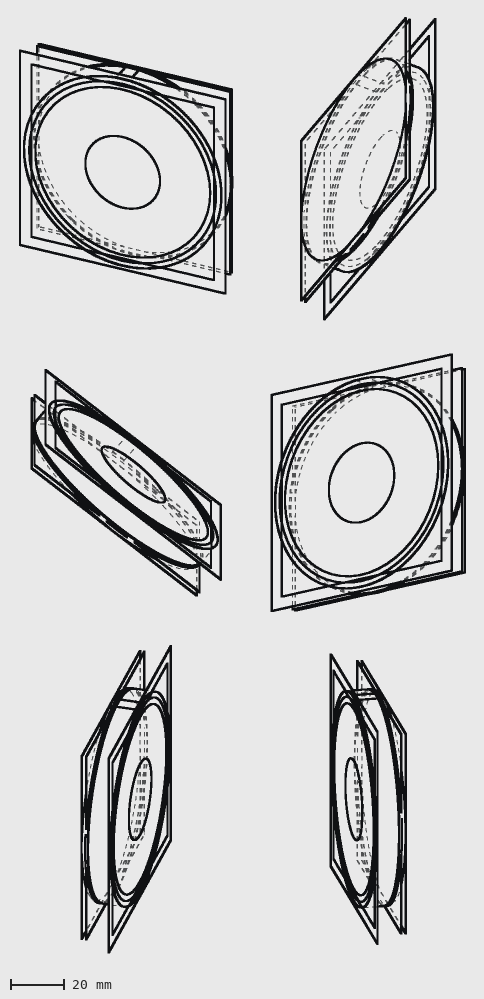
import cadquery as cq
import math

FRONT_SHEET_SIDE = 84.3
DEPTH = 11.55

DISC_RADIUS = 40.55
BEVEL_START = 9.95
BACK_RADIUS = 39.7
RIM_GROOVE_START = 8.8
RIM_GROOVE_WIDTH = 0.25

SHEET_THICKNESS = 0.2
FRONT_SHEET_START = 0.2
MIDDLE_SHEET_START = 9.7
REAR_SHEET_SIDE = 79.3

RELIEF = 0.1
PANEL_SIDE = 74.85
RING_OUTER_RADIUS = 38.35
RING_INNER_RADIUS = 35.9
CENTER_RADIUS = 15.3

MARK_HALF_WIDTH = 2.7
MARK_HALF_ANGLE = math.asin(MARK_HALF_WIDTH / DISC_RADIUS)


def plane_at(y):
    """Plane facing +Y at the given depth."""
    return cq.Workplane("XZ", origin=(0, y, 0))


def cylinder(radius, start, length):
    return plane_at(start).circle(radius).extrude(-length)


def tube(outer, inner, start, length):
    return plane_at(start).circle(outer).circle(inner).extrude(-length)


def square_sheet(side, start, thickness):
    return plane_at(start).rect(side, side).extrude(-thickness)


def turned_body(inset=0):
    """Disc with a bevelled back edge, its sides drawn in by the inset."""
    rim = DISC_RADIUS - inset
    back = BACK_RADIUS - inset
    profile = [(0, 0), (rim, 0), (rim, BEVEL_START), (back, DEPTH), (0, DEPTH)]
    return cq.Workplane("XY").polyline(profile).close().revolve(360, (0, 0, 0), (0, 1, 0))


def index_mark():
    """Shallow skin of the rim inside a narrow wedge pointing up."""
    reach = 2 * DISC_RADIUS
    half_span = reach * math.tan(MARK_HALF_ANGLE)
    wedge = (
        plane_at(0)
        .polyline([(0, 0), (half_span, reach), (-half_span, reach)])
        .close()
        .extrude(-DEPTH)
    )
    return turned_body().intersect(wedge).cut(turned_body(RELIEF))


body = turned_body()
body = body.cut(tube(DISC_RADIUS, DISC_RADIUS - 2 * RELIEF, RIM_GROOVE_START, RIM_GROOVE_WIDTH))
body = body.cut(index_mark())

body = body.union(square_sheet(FRONT_SHEET_SIDE, FRONT_SHEET_START, SHEET_THICKNESS))
body = body.union(square_sheet(REAR_SHEET_SIDE, MIDDLE_SHEET_START, SHEET_THICKNESS))
body = body.union(square_sheet(REAR_SHEET_SIDE, DEPTH - SHEET_THICKNESS, SHEET_THICKNESS))

body = body.cut(square_sheet(PANEL_SIDE, 0, RELIEF))
panel_step = square_sheet(PANEL_SIDE, FRONT_SHEET_START, RELIEF)
body = body.cut(panel_step.cut(cylinder(DISC_RADIUS, 0, DEPTH)))
body = body.cut(tube(RING_OUTER_RADIUS, RING_INNER_RADIUS, 0, 2 * RELIEF))
ring_step = tube(RING_OUTER_RADIUS, RING_INNER_RADIUS, 2 * RELIEF, RELIEF)
body = body.cut(ring_step.intersect(square_sheet(PANEL_SIDE, 0, DEPTH)))
result = body.cut(cylinder(CENTER_RADIUS, 0, 2 * RELIEF))